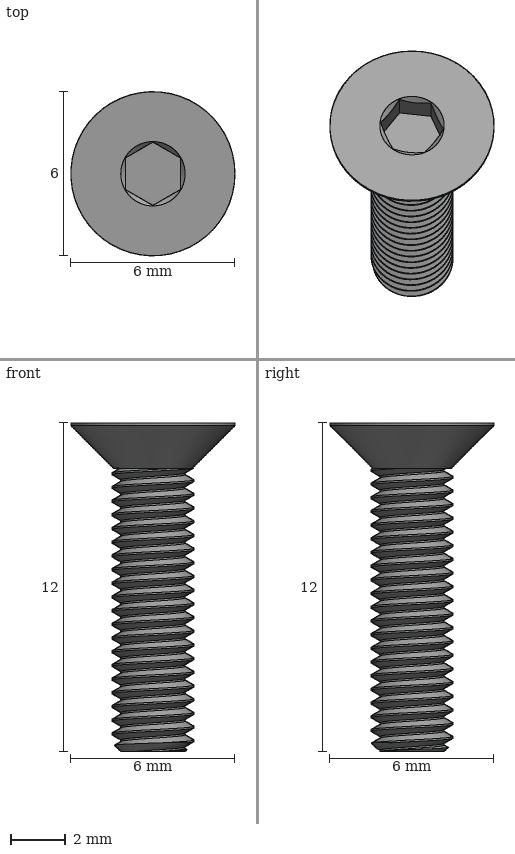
import cadquery as cq
import math

length = 12.0
head_diameter = 6.0
head_height = 1.65
rim_height = 0.1

thread_diameter = 3.0
root_diameter = 2.35
pitch = thread_diameter / 6
flank_half_angle = math.radians(30)
crest_width = pitch / 8
groove_start_height = 0.15

socket_across_flats = 2.0
socket_depth = 1.2
socket_mouth_diameter = root_diameter

thread_radius = thread_diameter / 2
root_radius = root_diameter / 2
head_radius = head_diameter / 2
head_bottom = length - head_height


def make_helix(radius, height):
    """One right-hand turn of the thread, starting over +X at the given height."""
    return cq.Wire.makeHelix(pitch, pitch, radius, center=cq.Vector(0, 0, height))


def make_end_faces(height, profile):
    """Helicoid from the axis to the root, and the radial wall closing its one-pitch step."""
    axis = cq.Wire.makePolygon([cq.Vector(0, 0, height), cq.Vector(0, 0, height + pitch)])
    helicoid = cq.Face.makeRuledSurface(axis, make_helix(root_radius, height))
    wall_points = [cq.Vector(0, 0, z) for z in (height + pitch, height)]
    wall_points += [cq.Vector(radius, 0, height + rise) for radius, rise in profile]
    wall = cq.Face.makeFromWires(cq.Wire.makePolygon(wall_points, close=True))
    return [helicoid, wall]


def make_thread_rod():
    """Solid threaded rod, bounded by helical faces, that overshoots both ends of the shank."""
    flank_rise = (thread_radius - root_radius) * math.tan(flank_half_angle)
    root_width = pitch - crest_width - 2 * flank_rise
    profile = [
        (root_radius, 0),
        (root_radius, root_width),
        (thread_radius, root_width + flank_rise),
        (thread_radius, root_width + flank_rise + crest_width),
        (root_radius, pitch),
    ]
    start = groove_start_height - root_width / 2 - 3 * pitch
    turns = math.ceil((head_bottom - start) / pitch) + 1
    end = start + turns * pitch

    faces = make_end_faces(start, profile)
    faces += make_end_faces(end, profile)
    for turn in range(turns):
        base = start + turn * pitch
        for (lower_radius, lower_rise), (upper_radius, upper_rise) in zip(profile, profile[1:]):
            lower_edge = make_helix(lower_radius, base + lower_rise)
            upper_edge = make_helix(upper_radius, base + upper_rise)
            faces.append(cq.Face.makeRuledSurface(lower_edge, upper_edge))
    return cq.Workplane(obj=cq.Solid.makeSolid(cq.Shell.makeShell(faces)).fix())


def make_shank_envelope():
    """Space the shank may fill: flat at both ends, with a 45 degree chamfer at the tip."""
    envelope_radius = thread_radius + pitch
    return (
        cq.Workplane("XY")
        .circle(envelope_radius)
        .extrude(head_bottom)
        .faces("<Z")
        .chamfer(envelope_radius - root_radius)
    )


def make_head():
    """45 degree countersunk head with a thin cylindrical rim."""
    cone_bottom_radius = head_radius - (head_height - rim_height)
    return (
        cq.Workplane("XZ")
        .moveTo(0, head_bottom)
        .lineTo(cone_bottom_radius, head_bottom)
        .lineTo(head_radius, length - rim_height)
        .lineTo(head_radius, length)
        .lineTo(0, length)
        .close()
        .revolve(360, (0, 0), (0, 1))
    )


def make_socket():
    """Flat-bottomed hexagonal recess with a 45 degree conical mouth."""
    across_corners = socket_across_flats / math.cos(math.radians(30))
    hexagon = (
        cq.Workplane("XY", origin=(0, 0, length - socket_depth))
        .transformed(rotate=(0, 0, 90))
        .polygon(6, across_corners)
        .extrude(socket_depth)
    )
    mouth_radius = socket_mouth_diameter / 2
    mouth = cq.Workplane(obj=cq.Solid.makeCone(
        mouth_radius, 0, mouth_radius, pnt=cq.Vector(0, 0, length), dir=cq.Vector(0, 0, -1)
    ))
    return hexagon.union(mouth)


threaded_shank = make_thread_rod().intersect(make_shank_envelope())
result = threaded_shank.union(make_head()).cut(make_socket()).solids()